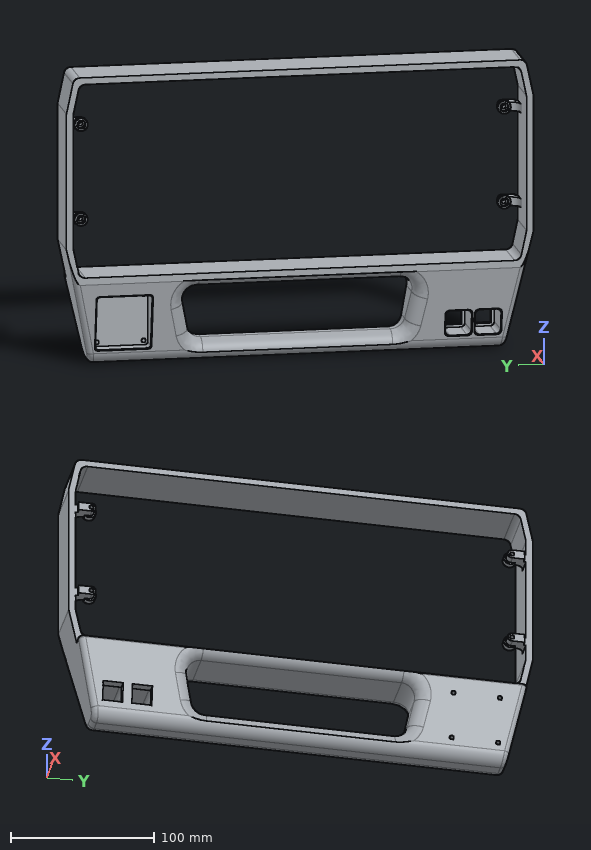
import cadquery as cq
import math

WIDTH = 332.0
HEIGHT = 208.5
FRAME_DEPTH = 35.2
CONSOLE_DEPTH = 45.0
WALL = 5.0
THROUGH = 2 * WIDTH

SIDE_LEAN = math.tan(math.radians(12))
LOWER_KINK_Z = 85.3
UPPER_KINK_Z = 183.0
CORNER_RADIUS = 5.0

LEDGE_Z = 59.8
FRONT_TAPER = 10.3
BOTTOM_RADIUS = 10.0
SIDE_EDGE_RADIUS = 4.3
LIP_RADIUS = 1.3

HANDLE_TOP_Z = 54.8
HANDLE_BOTTOM_Z = 15.0
HANDLE_TOP_HALF_WIDTH = 84.0
HANDLE_CORNER_RADIUS = 10.0
HANDLE_EDGE_RADIUS = 10.0

POCKET_Y = 124.2
POCKET_Z = 30.2
POCKET_SIZE = 39.2
POCKET_FLOOR_X = 20.0
POCKET_CORNER_RADIUS = 2.0
SCREW_SPACING = 33.2
SCREW_DIAMETER = 3.0

MOUTH_CHAMFER = 0.5

WINDOW_PAIR_Y = -124.5
WINDOW_Z = 20.0
WINDOW_PITCH = 21.0
WINDOW_SIZE = 14.3
RECESS_SIZE = 18.3
RECESS_FLOOR_X = 33.2
RECESS_CORNER_RADIUS = 3.0

LUG_HEIGHTS = (100.3, 168.3)
LUG_REACH = 10.5
LUG_FRONT_X = 30.0
LUG_BACK_X = 39.0
LUG_WALL_GAP = 1.5
LUG_THICKNESS = 6.3
LUG_FLARE = 6.5
LUG_RING_DIAMETER = 9.3
LUG_RING_FRONT_X = 28.0
LUG_RING_BACK_X = 32.5
LUG_BORE_DIAMETER = 6.0
LUG_BORE_DEPTH = 3.3
LUG_HOLE_DIAMETER = 3.0


def side_y(z):
    """Half width of the outer side outline at height z."""
    overhang = max(LOWER_KINK_Z - z, z - UPPER_KINK_Z, 0)
    return WIDTH / 2 - SIDE_LEAN * overhang


def mirrored_outline(right_points):
    """Close a list of (y, z) points with its mirror image about y = 0."""
    left_points = [(-y, z) for y, z in reversed(right_points)]
    return cq.Workplane("YZ").polyline(right_points + left_points).close()


def box_between(x_range, y_range, z_range):
    """Axis-aligned box filling the given (low, high) ranges."""
    sizes = [high - low for low, high in (x_range, y_range, z_range)]
    corner = (x_range[0], y_range[0], z_range[0])
    return cq.Workplane("XY").box(*sizes, centered=False).translate(corner)


def outline_between(*levels):
    """Closed section whose sides follow the part outline through the given heights."""
    return mirrored_outline([(side_y(z), z) for z in levels])


def tapered_body():
    """Sharp-edged console taper, carried up to the lower kink."""
    slope = FRONT_TAPER / LEDGE_Z
    rise = slope * LOWER_KINK_Z
    front_bottom = FRONT_TAPER
    back_bottom = CONSOLE_DEPTH - FRONT_TAPER
    points = [
        (front_bottom, 0),
        (back_bottom, 0),
        (back_bottom + rise, LOWER_KINK_Z),
        (front_bottom - rise, LOWER_KINK_Z),
    ]
    return cq.Workplane("XZ").polyline(points).close().extrude(WIDTH / 2, both=True)


def rounded_console():
    """Tapered body with leaning ends, a rounded bottom and rounded side edges."""
    ends = outline_between(0, LOWER_KINK_Z).extrude(THROUGH, both=True)
    body = tapered_body().edges("|Y and <Z").fillet(BOTTOM_RADIUS).intersect(ends)
    return body.faces("<Y or >Y").edges("not >Z").fillet(SIDE_EDGE_RADIUS)


def handle_block():
    """Sharp tapered block pierced by the handle opening, with rounded rims."""
    bottom_half_width = HANDLE_TOP_HALF_WIDTH - SIDE_LEAN * (HANDLE_TOP_Z - HANDLE_BOTTOM_Z)
    corners = [(bottom_half_width, HANDLE_BOTTOM_Z), (HANDLE_TOP_HALF_WIDTH, HANDLE_TOP_Z)]
    opening = mirrored_outline(corners).extrude(THROUGH, both=True)
    opening = opening.edges("|X").fillet(HANDLE_CORNER_RADIUS)
    rim_reach = HANDLE_TOP_HALF_WIDTH + HANDLE_EDGE_RADIUS
    around_rim = cq.selectors.BoxSelector(
        (-THROUGH, -rim_reach, HANDLE_BOTTOM_Z / 2),
        (THROUGH, rim_reach, LEDGE_Z),
    )
    block = tapered_body().cut(opening)
    return block.faces("<X or >X").edges(around_rim).fillet(HANDLE_EDGE_RADIUS)


def console():
    """Rounded body kept behind the frame front, stepped down to a lip at the back."""
    across = (-WIDTH, WIDTH)
    kept = box_between((0, FRAME_DEPTH), across, (0, LOWER_KINK_Z))
    kept = kept.union(box_between((0, THROUGH), across, (0, LEDGE_Z)))
    lip_edge = cq.selectors.BoxSelector(
        (FRAME_DEPTH + LIP_RADIUS, -WIDTH, LEDGE_Z - LIP_RADIUS),
        (THROUGH, WIDTH, LEDGE_Z + LIP_RADIUS),
    )
    body = rounded_console().intersect(kept).edges(lip_edge).fillet(LIP_RADIUS)
    above_ledge = box_between((-THROUGH, THROUGH), across, (LEDGE_Z, LOWER_KINK_Z))
    return body.intersect(handle_block().union(above_ledge))


def frame():
    """Solid upper block that the frame opening turns into a ring."""
    upper = outline_between(LOWER_KINK_Z, UPPER_KINK_Z, HEIGHT).extrude(FRAME_DEPTH)
    return upper.edges("|X and >Z").fillet(CORNER_RADIUS)


def frame_opening():
    """Cutter following the frame outline at one wall thickness inside it."""
    outer = outline_between(LEDGE_Z, LOWER_KINK_Z, UPPER_KINK_Z, HEIGHT)
    opening = outer.offset2D(-WALL, "intersection").extrude(FRAME_DEPTH)
    return opening.edges("|X and (<Z or >Z)").fillet(CORNER_RADIUS)


def cut_square(body, y, z, size, corner_radius, floor_x):
    """Cut a square blind hole from the front and chamfer its mouth."""
    half = size / 2
    cutter = box_between((0, floor_x), (y - half, y + half), (z - half, z + half))
    cutter = cutter.edges("|X").fillet(corner_radius)
    reach = half + MOUTH_CHAMFER / 2
    around_mouth = cq.selectors.BoxSelector((0, y - reach, z - reach), (FRONT_TAPER, y + reach, z + reach))
    return body.cut(cutter).edges(around_mouth).chamfer(MOUTH_CHAMFER)


def cut_pocket(body):
    """Square pocket whose four corner screw holes run through to the back."""
    body = cut_square(body, POCKET_Y, POCKET_Z, POCKET_SIZE, POCKET_CORNER_RADIUS, POCKET_FLOOR_X)
    screws = (
        cq.Workplane("YZ")
        .center(POCKET_Y, POCKET_Z)
        .rect(SCREW_SPACING, SCREW_SPACING, forConstruction=True)
        .vertices()
        .circle(SCREW_DIAMETER / 2)
        .extrude(THROUGH)
    )
    return body.cut(screws)


def cut_windows(body):
    """Two recesses side by side, each with a smaller window through its floor."""
    for side in (-1, 1):
        y = WINDOW_PAIR_Y + side * WINDOW_PITCH / 2
        body = cut_square(body, y, WINDOW_Z, RECESS_SIZE, RECESS_CORNER_RADIUS, RECESS_FLOOR_X)
        window = cq.Workplane("YZ").center(y, WINDOW_Z).rect(WINDOW_SIZE, WINDOW_SIZE).extrude(THROUGH)
        body = body.cut(window)
    return body


def lug(z):
    """Ring on a short arm that flares into the +Y side wall."""
    wall_y = WIDTH / 2 - WALL
    root_y = WIDTH / 2 - WALL / 2
    ring_y = wall_y - LUG_REACH
    flare_front_x = LUG_FRONT_X - LUG_FLARE
    arc_middle = LUG_FLARE * (1 - math.sqrt(0.5))
    low_z = z - LUG_THICKNESS / 2
    arm = (
        cq.Workplane("XY", origin=(0, 0, low_z))
        .moveTo(LUG_BACK_X, ring_y)
        .lineTo(LUG_FRONT_X, ring_y)
        .lineTo(LUG_FRONT_X, wall_y - LUG_FLARE)
        .threePointArc((LUG_FRONT_X - arc_middle, wall_y - arc_middle), (flare_front_x, wall_y))
        .lineTo(flare_front_x, root_y)
        .lineTo(FRAME_DEPTH, root_y)
        .lineTo(FRAME_DEPTH, wall_y - LUG_WALL_GAP)
        .lineTo(LUG_BACK_X, wall_y - LUG_WALL_GAP)
        .close()
        .extrude(LUG_THICKNESS)
    )

    def disc(diameter, front_x, back_x):
        plane = cq.Workplane("YZ", origin=(front_x, ring_y, z))
        return plane.circle(diameter / 2).extrude(back_x - front_x)

    tip = disc(LUG_THICKNESS, LUG_FRONT_X, LUG_BACK_X)
    ring = disc(LUG_RING_DIAMETER, LUG_RING_FRONT_X, LUG_RING_BACK_X)
    hole = disc(LUG_HOLE_DIAMETER, 0, CONSOLE_DEPTH)
    bore = disc(LUG_BORE_DIAMETER, LUG_RING_FRONT_X, LUG_RING_FRONT_X + LUG_BORE_DEPTH)
    return arm.union(tip).union(ring).cut(hole).cut(bore)


result = console().union(frame()).cut(frame_opening())
result = cut_windows(cut_pocket(result))
for lug_z in LUG_HEIGHTS:
    wall_lug = lug(lug_z)
    result = result.union(wall_lug).union(wall_lug.mirror("XZ"))